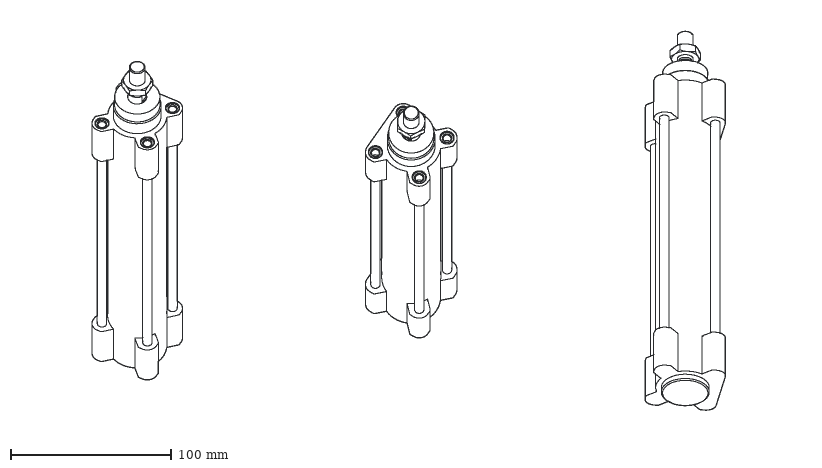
import cadquery as cq
import math

overall_height = 270.0
cap_height = 28.5
rear_boss_height = 4.0
front_cap_top = 223.6
collar_step_z = 234.0
collar_top = 241.5

cap_width = 45.0
lug_spacing = 32.5
lug_arc_diameter = 13.0
lug_flat_end = 13.2
flank_fillet = 1.4
barrel_diameter = 37.0
tie_rod_diameter = 6.0

boss_diameter = 30.0
collar_tip_diameter = 28.4
collar_waist_diameter = 27.8
boss_chamfer = 0.8

seat_diameter = 8.0
seat_mouth_diameter = 9.0
seat_mouth_chamfer = 0.4
seat_depth = 0.8
screw_countersink_diameter = 6.0
screw_hole_diameter = 4.9
screw_hole_depth = 8.0
drill_point_angle = 118.0

rod_diameter = 12.0
rod_insertion = 43.2
rod_shoulder_z = 249.0
rod_shoulder_tip_diameter = 9.0
rod_shoulder_tip_height = 0.8
rod_shoulder_chamfer = 0.5
wrench_flat_width = 10.0
wrench_flat_bottom = 242.3
neck_diameter = 8.0
thread_diameter = 10.0
thread_start_z = 252.0
thread_runout = 1.4
thread_chamfer = 0.68

nut_width = 17.0
nut_height = 5.7
nut_bottom = 252.0
nut_chamfer_height = 0.68

search_margin = 0.3

half_width = cap_width / 2
lug_offset = lug_spacing / 2
barrel_radius = barrel_diameter / 2
rear_cap_top = rear_boss_height + cap_height
front_cap_bottom = front_cap_top - cap_height
rod_bottom = collar_top - rod_insertion

lug_points = [(sx * lug_offset, sy * lug_offset) for sx in (-1, 1) for sy in (-1, 1)]


def cylinder(diameter, bottom, top):
    return cq.Workplane("XY").workplane(offset=bottom).circle(diameter / 2).extrude(top - bottom)


def flank_corners():
    """Selector for the edges where the flat end of each lug turns into its 45 degree flank."""
    corners = [(end, -half_width) for end in (-lug_flat_end, lug_flat_end)]
    corners += [(side, end) for side in (-half_width, half_width) for end in (-lug_flat_end, lug_flat_end)]
    boxes = [
        cq.selectors.BoxSelector(
            (x - search_margin, y - search_margin, 0),
            (x + search_margin, y + search_margin, overall_height),
        )
        for x, y in corners
    ]
    return sum(boxes[1:], boxes[0])


def side_recess(bottom):
    """Cut-away on the -Y side: 45 degree lug flanks that end on the barrel diameter."""
    rise = half_width - lug_flat_end
    root_x = (math.sqrt(2 * barrel_radius**2 - rise**2) - rise) / 2
    root_y = root_x + rise
    return (
        cq.Workplane("XY")
        .workplane(offset=bottom)
        .moveTo(-lug_flat_end, -half_width)
        .lineTo(-root_x, -root_y)
        .threePointArc((0, -barrel_radius), (root_x, -root_y))
        .lineTo(lug_flat_end, -half_width)
        .close()
        .extrude(cap_height)
    )


def end_cap(bottom):
    """Cap with the +Y side left straight and the other three sides cut away between the lugs."""
    cap = (
        cq.Workplane("XY")
        .workplane(offset=bottom)
        .rect(cap_width, cap_width)
        .extrude(cap_height)
        .edges("|Z")
        .fillet(lug_arc_diameter / 2)
    )
    for angle in (-90, 0, 90):
        cap = cap.cut(side_recess(bottom).rotate((0, 0, 0), (0, 0, 1), angle))
    return cap.edges("|Z").edges(flank_corners()).fillet(flank_fillet)


def screw_seat():
    """Round recess, countersunk screw hole and drill point, as a cutter with its mouth at z = 0."""
    hole_radius = screw_hole_diameter / 2
    sink_radius = screw_countersink_diameter / 2
    hole_bottom = -seat_depth - screw_hole_depth
    point_depth = hole_radius / math.tan(math.radians(drill_point_angle / 2))
    return (
        cq.Workplane("XZ")
        .moveTo(0, 0)
        .lineTo(seat_mouth_diameter / 2, 0)
        .lineTo(seat_diameter / 2, -seat_mouth_chamfer)
        .lineTo(seat_diameter / 2, -seat_depth)
        .lineTo(sink_radius, -seat_depth)
        .lineTo(hole_radius, -seat_depth - (sink_radius - hole_radius))
        .lineTo(hole_radius, hole_bottom)
        .lineTo(0, hole_bottom - point_depth)
        .close()
        .revolve(360, (0, 0, 0), (0, 1, 0))
    )


def make_collar_tip():
    """Upper part of the front collar, with a slightly hollow side."""
    tip_radius = collar_tip_diameter / 2
    middle_z = (collar_step_z + collar_top) / 2
    return (
        cq.Workplane("XZ")
        .moveTo(0, collar_step_z)
        .lineTo(tip_radius, collar_step_z)
        .threePointArc((collar_waist_diameter / 2, middle_z), (tip_radius, collar_top))
        .lineTo(0, collar_top)
        .close()
        .revolve(360, (0, 0, 0), (0, 1, 0))
    )


def make_housing():
    """Barrel, two end caps, tie rods and bosses, with the rod bore and the screw seats cut in."""
    housing = cylinder(barrel_diameter, rear_boss_height, front_cap_top)
    housing = housing.union(end_cap(rear_boss_height)).union(end_cap(front_cap_bottom))
    for x, y in lug_points:
        tie_rod = cylinder(tie_rod_diameter, rear_cap_top, front_cap_bottom)
        housing = housing.union(tie_rod.translate((x, y, 0)))

    rear_boss = cylinder(boss_diameter, 0, rear_boss_height).faces("<Z").chamfer(boss_chamfer)
    collar = cylinder(boss_diameter, front_cap_top, collar_step_z).faces(">Z").chamfer(boss_chamfer)
    collar_tip = make_collar_tip()
    housing = housing.union(rear_boss).union(collar).union(collar_tip)

    for x, y in lug_points:
        housing = housing.cut(screw_seat().translate((x, y, front_cap_top)))
    return housing.cut(cylinder(rod_diameter, rod_bottom, collar_top))


def make_piston_rod():
    """Turned rod with a stepped shoulder, neck and threaded end, and two wrench flats."""
    rod_radius = rod_diameter / 2
    shoulder_tip_radius = rod_shoulder_tip_diameter / 2
    shoulder_tip_z = rod_shoulder_z - rod_shoulder_tip_height
    neck_radius = neck_diameter / 2
    thread_radius = thread_diameter / 2
    rod = (
        cq.Workplane("XZ")
        .moveTo(0, rod_bottom)
        .lineTo(rod_radius, rod_bottom)
        .lineTo(rod_radius, shoulder_tip_z - rod_shoulder_chamfer)
        .lineTo(shoulder_tip_radius, shoulder_tip_z)
        .lineTo(shoulder_tip_radius, rod_shoulder_z)
        .lineTo(neck_radius, rod_shoulder_z)
        .lineTo(neck_radius, thread_start_z - thread_runout)
        .lineTo(thread_radius, thread_start_z)
        .lineTo(thread_radius, overall_height - thread_chamfer)
        .lineTo(thread_radius - thread_chamfer, overall_height)
        .lineTo(0, overall_height)
        .close()
        .revolve(360, (0, 0, 0), (0, 1, 0))
    )
    flat_height = rod_shoulder_z - wrench_flat_bottom
    for side in (-1, 1):
        flat_cut = (
            cq.Workplane("XY")
            .box(rod_diameter, rod_diameter, flat_height, centered=(True, True, False))
            .translate((side * (wrench_flat_width + rod_diameter) / 2, 0, wrench_flat_bottom))
        )
        rod = rod.cut(flat_cut)
    return rod


def make_nut():
    """Hexagon nut with two flats facing +X and -X and its corners chamfered at both ends."""
    corner_diameter = nut_width / math.cos(math.radians(30))
    chamfer_length = (corner_diameter - nut_width) / 2
    hexagon = (
        cq.Workplane("XY")
        .polygon(6, corner_diameter)
        .extrude(nut_height)
        .rotate((0, 0, 0), (0, 0, 1), 30)
    )
    envelope = cylinder(corner_diameter, 0, nut_height)
    envelope = envelope.faces("<Z or >Z").chamfer(nut_chamfer_height, chamfer_length)
    nut = hexagon.intersect(envelope).cut(cylinder(thread_diameter, 0, nut_height))
    return nut.translate((0, 0, nut_bottom))


housing = make_housing()
piston_rod = make_piston_rod()
nut = make_nut()

result = cq.Compound.makeCompound([housing.val(), piston_rod.val(), nut.val()])